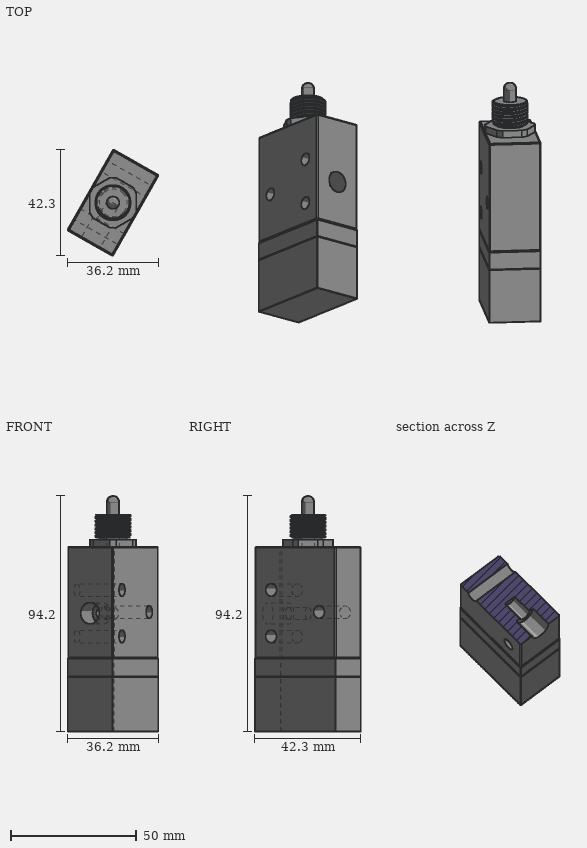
import cadquery as cq
import math

block_width = 20.8
block_length = 37.1
block_turn = -29.6

base_top = 21.9
spacer_top = 29.2
housing_top = 73.9
flange_top = 76.7
thread_bottom = 77.5
thread_top = 86.7
plunger_top = 94.15

edge_chamfer = 0.2
housing_chamfer = 0.5

port_height = 47.3
port_diameter = 8.6
port_depth = 9.5
passage_diameter = 5.0

mount_diameter = 5.0
mount_offset = 11.0
mount_places = [(-mount_offset, 56.6), (-mount_offset, 38.0), (mount_offset, 47.7)]

flange_across_flats = 18.55
flange_corner_diameter = 20.1
neck_diameter = 11.1
thread_diameter = 14.1
thread_pitch = 1.5
thread_depth = 0.85
thread_groove_width = 1.0
thread_groove_start = 85.5
thread_chamfer = 0.4
groove_overcut = 0.2

plunger_diameter = 5.0


def block(bottom, top):
    """Rectangular block between two heights, still square to the axes."""
    return (
        cq.Workplane("XY")
        .workplane(offset=bottom)
        .rect(block_width, block_length)
        .extrude(top - bottom)
    )


def cylinder(diameter, bottom, top):
    """Cylinder on the vertical axis between two heights."""
    return cq.Workplane("XY").workplane(offset=bottom).circle(diameter / 2).extrude(top - bottom)


def turned(body):
    """Turn a block into its final direction about the vertical axis."""
    return body.rotate((0, 0, 0), (0, 0, 1), block_turn)


def make_base():
    """Bottom block."""
    return turned(block(0, base_top).edges().chamfer(edge_chamfer))


def make_spacer():
    """Thin block between the base and the housing."""
    return turned(block(base_top, spacer_top).edges().chamfer(edge_chamfer))


def make_housing():
    """Main block with a port and three mounting holes."""
    body = block(spacer_top, housing_top).edges().chamfer(housing_chamfer)

    port_face = cq.Workplane("XZ", origin=(0, -block_length / 2, port_height))
    port = port_face.circle(port_diameter / 2).extrude(-port_depth)
    passage = port_face.circle(passage_diameter / 2).extrude(-block_length / 2)
    body = body.cut(port).cut(passage)

    mounts = (
        cq.Workplane("YZ", origin=(-block_width / 2, 0, 0))
        .pushPoints(mount_places)
        .circle(mount_diameter / 2)
        .extrude(block_width)
    )
    return turned(body.cut(mounts))


def make_flange():
    """Hexagon with two sides facing along X, its corners rounded off by a cylinder."""
    across_corners = flange_across_flats / math.cos(math.pi / 6)
    hexagon = (
        cq.Workplane("XY")
        .workplane(offset=housing_top)
        .polygon(6, across_corners)
        .extrude(flange_top - housing_top)
        .rotate((0, 0, 0), (0, 0, 1), 30)
    )
    return hexagon.intersect(cylinder(flange_corner_diameter, housing_top, flange_top))


def make_thread():
    """Right-handed V thread, its groove running out at both ends."""
    radius = thread_diameter / 2

    turns_below = math.ceil((thread_groove_start - thread_bottom) / thread_pitch) + 1
    groove_bottom = thread_groove_start - turns_below * thread_pitch
    turns = math.ceil((thread_top - groove_bottom) / thread_pitch) + 1
    groove_top = groove_bottom + turns * thread_pitch
    helix = cq.Wire.makeHelix(
        thread_pitch, groove_top - groove_bottom, radius, center=cq.Vector(0, 0, groove_bottom)
    )

    half_width = thread_groove_width / 2 * (thread_depth + groove_overcut) / thread_depth
    groove = (
        cq.Workplane("XZ", origin=(0, 0, groove_bottom))
        .moveTo(radius - thread_depth, 0)
        .lineTo(radius + groove_overcut, -half_width)
        .lineTo(radius + groove_overcut, half_width)
        .close()
        .sweep(cq.Workplane(helix), isFrenet=True)
    )

    blank = cylinder(thread_diameter, groove_bottom - thread_pitch, groove_top + thread_pitch)
    trimmed = cylinder(thread_diameter, thread_bottom, thread_top).edges().chamfer(thread_chamfer)
    return blank.cut(groove).intersect(trimmed)


def make_bushing():
    """Flange, neck and thread in one piece, bored through for the plunger."""
    neck = cylinder(neck_diameter, flange_top, thread_bottom)
    bore = cylinder(plunger_diameter, housing_top, thread_top)
    return make_flange().union(neck).union(make_thread()).cut(bore)


def make_plunger():
    """Pin with a hemispherical tip, standing on the housing inside the bushing."""
    radius = plunger_diameter / 2
    tip_center = plunger_top - radius
    tip = cq.Workplane("XY", origin=(0, 0, tip_center)).sphere(radius)
    return cylinder(plunger_diameter, housing_top, tip_center).union(tip)


base = make_base()
spacer = make_spacer()
housing = make_housing()
bushing = make_bushing()
plunger = make_plunger()

result = cq.Compound.makeCompound(
    [base.val(), spacer.val(), housing.val(), bushing.val(), plunger.val()]
)